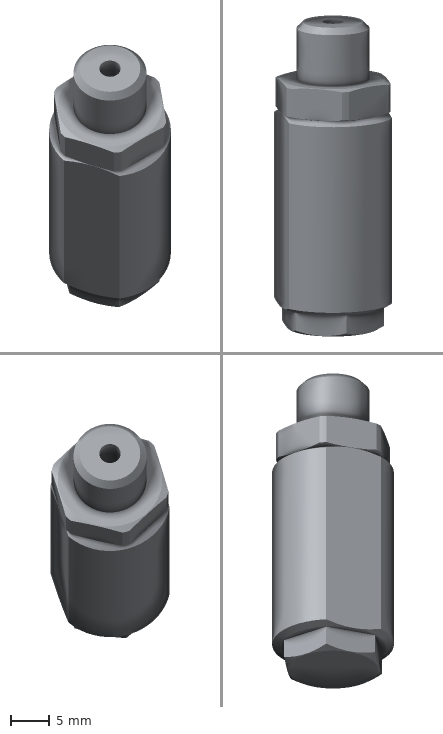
import cadquery as cq
import math

total_height = 41.0
cap_height = 3.05
nut_bottom = 29.05
nut_top = 33.37

body_diameter = 16.0
body_flat_width = 14.0
body_chamfer_height = 0.57
body_end_diameter = 14.0

nut_flat_width = 14.0
nut_corner_diameter = 15.62
nut_end_diameter = 13.75
nut_chamfer_angle = 15.0
nut_turn = -2.4

cap_flat_width = 12.0
cap_end_diameter = 11.85
cap_chamfer_angle = 30.0

stud_diameter = 9.6
stud_chamfer = 0.8
bore_diameter = 2.8
bore_depth = 12.3


def hex_prism(flat_width, bottom, top):
    """Hexagonal prism with one pair of flats facing -Y and +Y."""
    corner_distance = flat_width / math.cos(math.pi / 6)
    return cq.Workplane("XY").workplane(offset=bottom).polygon(6, corner_distance).extrude(top - bottom)


def chamfered_cylinder(diameter, end_diameter, bottom, top, bottom_chamfer, top_chamfer):
    """Revolved cylinder whose ends taper to end_diameter over the chamfer heights.

    A zero chamfer height leaves that end square.
    """
    radius = diameter / 2
    end_radius = end_diameter / 2
    outline = cq.Workplane("XZ").moveTo(0, bottom)
    if bottom_chamfer > 0:
        outline = outline.lineTo(end_radius, bottom)
    outline = outline.lineTo(radius, bottom + bottom_chamfer).lineTo(radius, top - top_chamfer)
    if top_chamfer > 0:
        outline = outline.lineTo(end_radius, top)
    return outline.lineTo(0, top).close().revolve(360, (0, 0, 0), (0, 1, 0))


def taper_height(diameter, end_diameter, angle):
    """Axial height of a taper inclined by angle to the end face."""
    return (diameter - end_diameter) / 2 * math.tan(math.radians(angle))


def make_cap():
    corner_diameter = cap_flat_width / math.cos(math.pi / 6)
    chamfer = taper_height(corner_diameter, cap_end_diameter, cap_chamfer_angle)
    envelope = chamfered_cylinder(corner_diameter, cap_end_diameter, 0, cap_height, chamfer, 0)
    return hex_prism(cap_flat_width, 0, cap_height).intersect(envelope)


def make_body():
    height = nut_bottom - cap_height
    flats = cq.Workplane("XY").workplane(offset=cap_height).rect(body_diameter, body_flat_width).extrude(height)
    barrel = chamfered_cylinder(
        body_diameter, body_end_diameter, cap_height, nut_bottom, body_chamfer_height, body_chamfer_height
    )
    return barrel.intersect(flats)


def make_nut():
    chamfer = taper_height(nut_corner_diameter, nut_end_diameter, nut_chamfer_angle)
    envelope = chamfered_cylinder(
        nut_corner_diameter, nut_end_diameter, nut_bottom, nut_top, chamfer, chamfer
    )
    prism = hex_prism(nut_flat_width, nut_bottom, nut_top).rotate((0, 0, 0), (0, 0, 1), nut_turn)
    return prism.intersect(envelope)


def make_stud():
    end_diameter = stud_diameter - 2 * stud_chamfer
    return chamfered_cylinder(stud_diameter, end_diameter, nut_top, total_height, 0, stud_chamfer)


def make_bore():
    return (
        cq.Workplane("XY")
        .workplane(offset=total_height - bore_depth)
        .circle(bore_diameter / 2)
        .extrude(bore_depth)
    )


result = make_cap().union(make_body()).union(make_nut()).union(make_stud()).cut(make_bore())